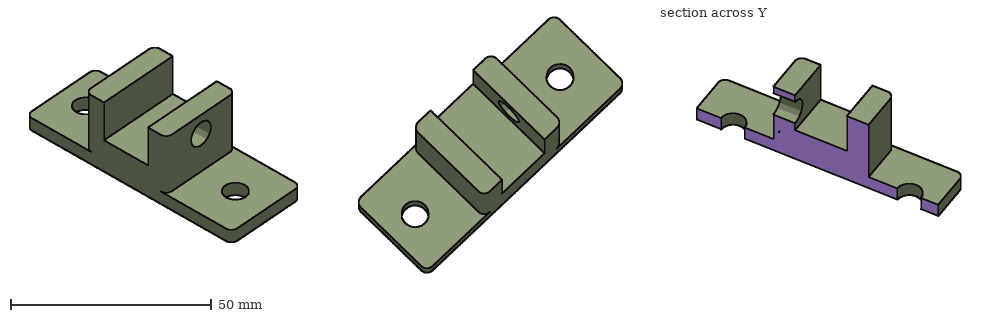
import cadquery as cq

plate_length = 69.67
plate_width = 25.4
plate_thickness = 4.0
plate_left_reach = 33.8
corner_radius = 2.0

mount_hole_diameter = 6.76
mount_hole_spacing = 50.8

total_height = 22.0
block_length = 27.5
slot_width = 14.9
slot_floor_height = 10.0

cross_hole_diameter = 7.23
cross_hole_height = 16.0


def rounded_slab(length, height, centre_x):
    """Upright slab standing on Z = 0, with its four vertical edges rounded."""
    slab = cq.Workplane("XY").box(length, plate_width, height, centered=(True, True, False))
    return slab.edges("|Z").fillet(corner_radius).translate((centre_x, 0, 0))


def make_body():
    plate_centre_x = plate_length / 2 - plate_left_reach
    plate = rounded_slab(plate_length, plate_thickness, plate_centre_x)
    block = rounded_slab(block_length, total_height - plate_thickness, 0)
    return plate.union(block.translate((0, 0, plate_thickness)))


def make_slot():
    slot_depth = total_height - slot_floor_height
    slot = cq.Workplane("XY").box(slot_width, plate_width, slot_depth, centered=(True, True, False))
    return slot.translate((0, 0, slot_floor_height))


def make_mount_holes():
    centres = [(-mount_hole_spacing / 2, 0), (mount_hole_spacing / 2, 0)]
    return cq.Workplane("XY").pushPoints(centres).circle(mount_hole_diameter / 2).extrude(plate_thickness)


def make_cross_hole():
    hole_axis = cq.Workplane("YZ").center(0, cross_hole_height)
    return hole_axis.circle(cross_hole_diameter / 2).extrude(block_length / 2)


result = make_body().cut(make_slot()).cut(make_mount_holes()).cut(make_cross_hole())